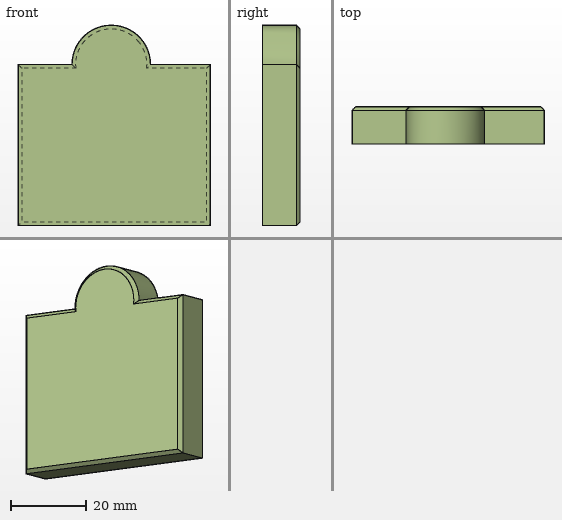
import cadquery as cq

plate_width = 51.08
overall_height = 53.3
thickness = 10.0
tab_radius = 10.45
tab_center_x = 24.74
rear_chamfer = 1.0

plate_height = overall_height - tab_radius
tab_left = tab_center_x - tab_radius
tab_right = tab_center_x + tab_radius


def plate_with_tab():
    """Rectangular plate with a half-round tab rising from its top edge."""
    return (
        cq.Workplane("XZ")
        .lineTo(plate_width, 0)
        .lineTo(plate_width, plate_height)
        .lineTo(tab_right, plate_height)
        .threePointArc((tab_center_x, overall_height), (tab_left, plate_height))
        .lineTo(0, plate_height)
        .close()
        .extrude(-thickness)
    )


result = plate_with_tab().faces(">Y").edges().chamfer(rear_chamfer)